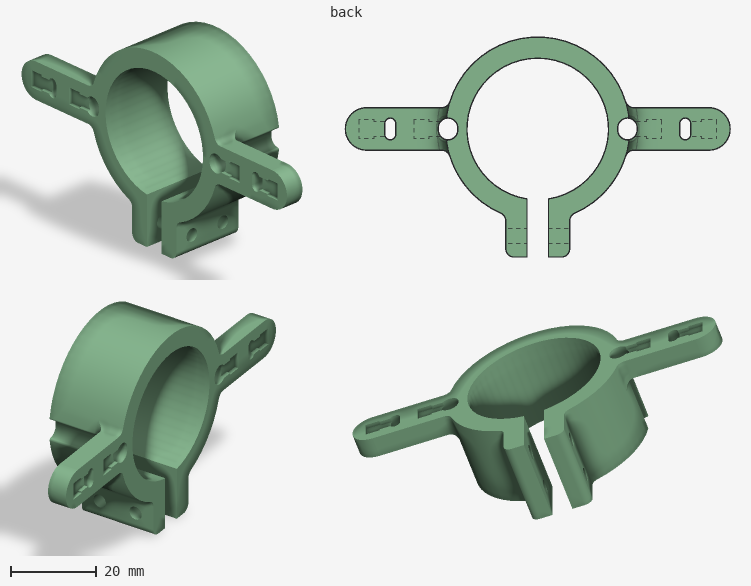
import cadquery as cq

DEPTH = 20.0
RING_OUTER_RADIUS = 21.5
WALL = DEPTH / 4
RING_INNER_RADIUS = RING_OUTER_RADIUS - WALL
BLEND_RADIUS = 2.0

ARM_REACH = 45.0
ARM_HEIGHT = 2 * WALL
ARM_THICKNESS = WALL
JUNCTION_MARGIN = 1.35

OVERALL_HEIGHT = 51.5
LEG_BOTTOM = RING_OUTER_RADIUS - OVERALL_HEIGHT
LEG_THICKNESS = WALL
GAP_WIDTH = WALL
LEGS_WIDTH = GAP_WIDTH + 2 * LEG_THICKNESS
CLAMP_HOLE_DIAMETER = 3.4
CLAMP_HOLE_SPACING = DEPTH / 2
CLAMP_HOLE_ABOVE_BOTTOM = 4.95

SLOT_HEIGHT = 5.0
INNER_SLOT_X = 21.0
INNER_SLOT_WIDTH = 4.5
OUTER_SLOT_X = 34.5
OUTER_SLOT_WIDTH = 2.5
POCKET_DEPTH = 1.0
POCKET_WIDE_HEIGHT = 4.4
POCKET_WIDE_LENGTH = 3.5
POCKET_NARROW_HEIGHT = 3.5
INNER_POCKET_END_X = 28.9
OUTER_POCKET_END_X = 41.8

LIP_RADIUS = 0.5


def block(x_start, x_end, z_start, z_end, depth):
    """Box from the front face back to the given depth."""
    size = (x_end - x_start, depth, z_end - z_start)
    return cq.Workplane("XY").box(*size, centered=False).translate((x_start, 0, z_start))


def cylinder(radius):
    """Full-depth cylinder along the ring's axis."""
    return cq.Workplane("XZ").circle(radius).extrude(-DEPTH)


def upright_slot(x, width):
    """Through cut with straight sides and rounded top and bottom."""
    return cq.Workplane("XZ").center(x, 0).slot2D(SLOT_HEIGHT, width, 90).extrude(-DEPTH)


def pocket(slot_x, end_x):
    """Shallow pocket: wide at its outer end, narrow where it meets the slot."""
    half_wide = POCKET_WIDE_HEIGHT / 2
    half_narrow = POCKET_NARROW_HEIGHT / 2
    wide = block(end_x - POCKET_WIDE_LENGTH, end_x, -half_wide, half_wide, POCKET_DEPTH)
    narrow = block(slot_x, end_x, -half_narrow, half_narrow, POCKET_DEPTH)
    return wide.union(narrow)


def fillet_nearest_edge(body, point, radius):
    """Round the edge along Y that lies closest to the given point."""
    nearest = cq.selectors.NearestToPointSelector(point)
    return body.edges("|Y").edges(nearest).fillet(radius)


def ring_with_legs():
    """Ring and leg block, blended together and rounded at the bottom corners."""
    half_width = LEGS_WIDTH / 2
    legs = block(-half_width, half_width, LEG_BOTTOM, -RING_INNER_RADIUS, DEPTH)
    legs = legs.edges("|Y and <Z").fillet(BLEND_RADIUS)
    body = cylinder(RING_OUTER_RADIUS).union(legs)
    for side in (-1, 1):
        junction_point = (side * half_width, DEPTH / 2, -RING_OUTER_RADIUS)
        body = fillet_nearest_edge(body, junction_point, BLEND_RADIUS)
    return body


def add_arms(body):
    """Round-ended bar across the ring, blended all around where it leaves the ring."""
    bar = cq.Workplane("XZ").slot2D(2 * ARM_REACH, ARM_HEIGHT).extrude(-ARM_THICKNESS)
    body = body.union(bar)
    for side in (-1, 1):
        inner_x = side * (RING_OUTER_RADIUS - JUNCTION_MARGIN)
        outer_x = side * (RING_OUTER_RADIUS + JUNCTION_MARGIN)
        edge_z = ARM_HEIGHT / 2 + JUNCTION_MARGIN
        edge_y = ARM_THICKNESS + JUNCTION_MARGIN
        junction = cq.selectors.BoxSelector(
            (inner_x, JUNCTION_MARGIN, -edge_z), (outer_x, edge_y, edge_z)
        )
        body = body.edges(junction).fillet(BLEND_RADIUS)
    return body


def cut_clamp_holes(body):
    """Two bolt holes along X through both legs."""
    hole_z = LEG_BOTTOM + CLAMP_HOLE_ABOVE_BOTTOM
    for offset in (-CLAMP_HOLE_SPACING / 2, CLAMP_HOLE_SPACING / 2):
        hole = cq.Workplane("YZ").center(DEPTH / 2 + offset, hole_z)
        hole = hole.circle(CLAMP_HOLE_DIAMETER / 2).extrude(LEGS_WIDTH / 2, both=True)
        body = body.cut(hole)
    return body


def cut_arm_slots(body):
    """Slots and pockets in both arms; the inner slots also groove the ring."""
    layout = [
        (INNER_SLOT_X, INNER_SLOT_WIDTH, INNER_POCKET_END_X),
        (OUTER_SLOT_X, OUTER_SLOT_WIDTH, OUTER_POCKET_END_X),
    ]
    for slot_x, slot_width, pocket_end_x in layout:
        cutter = upright_slot(slot_x, slot_width).union(pocket(slot_x, pocket_end_x))
        body = body.cut(cutter).cut(cutter.mirror("YZ"))
    return body


def round_groove_lips(body):
    """Round the groove's lips on the ring and the slot's rim on the back of the arm."""
    lip_y = (ARM_THICKNESS + DEPTH) / 2
    for side in (-1, 1):
        upper_lip = (side * RING_OUTER_RADIUS, lip_y, SLOT_HEIGHT / 2)
        body = fillet_nearest_edge(body, upper_lip, LIP_RADIUS)
    return body


body = add_arms(ring_with_legs())
body = body.cut(cylinder(RING_INNER_RADIUS))
body = body.cut(block(-GAP_WIDTH / 2, GAP_WIDTH / 2, LEG_BOTTOM, 0, DEPTH))
result = round_groove_lips(cut_arm_slots(cut_clamp_holes(body)))